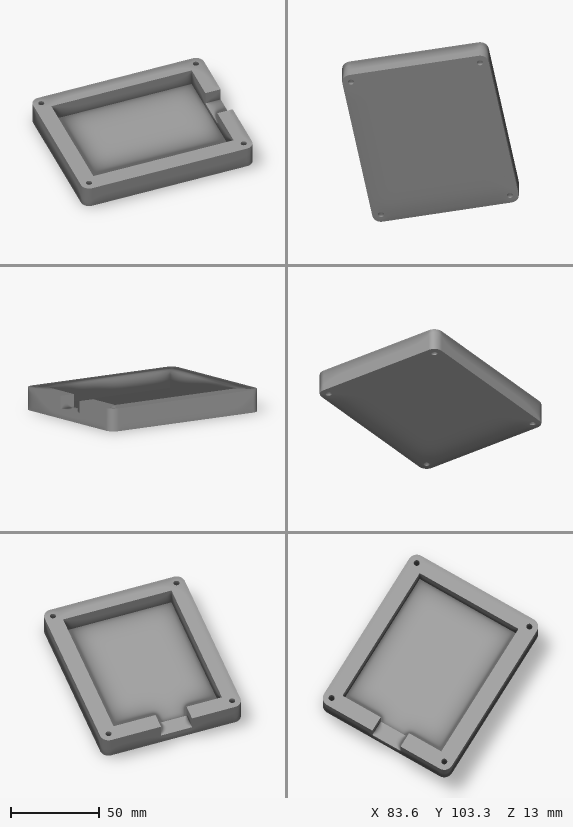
import cadquery as cq

width = 83.6
length = 103.3
height = 13.0
corner_radius = 5.0

pocket_width = 64.6
pocket_length = 84.7
floor_thickness = 3.0

notch_width = 18.5
notch_center_x = -2.0
notch_depth = 7.5

hole_diameter = 3.4
hole_spacing_x = width - 2 * corner_radius
hole_spacing_y = length - 2 * corner_radius


def make_block():
    block = cq.Workplane("XY").box(width, length, height, centered=(True, True, False))
    return block.edges("|Z").fillet(corner_radius)


def make_pocket():
    pocket_depth = height - floor_thickness
    pocket = cq.Workplane("XY").workplane(offset=floor_thickness)
    return pocket.box(pocket_width, pocket_length, pocket_depth, centered=(True, True, False))


def make_notch():
    notch = cq.Workplane("XY").workplane(offset=height - notch_depth).center(notch_center_x, 0)
    return notch.box(notch_width, length / 2, notch_depth, centered=(True, False, False))


def make_screw_holes():
    holes = cq.Workplane("XY").rect(hole_spacing_x, hole_spacing_y, forConstruction=True).vertices()
    return holes.circle(hole_diameter / 2).extrude(height)


result = make_block().cut(make_pocket()).cut(make_notch()).cut(make_screw_holes())